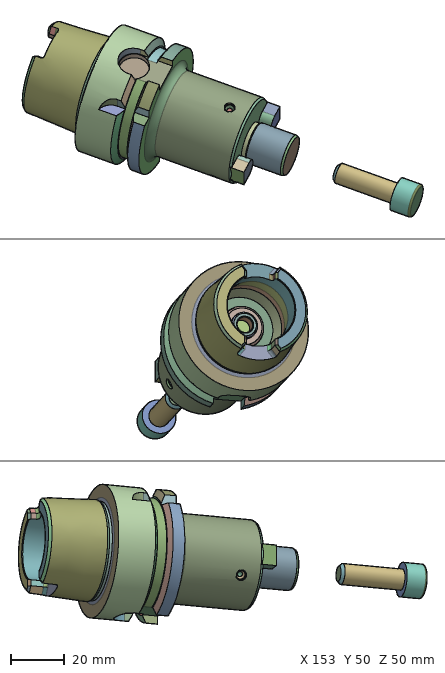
import cadquery as cq
import math


total_length = 153.0
taper_end_x = 22.6
flange_front_x = 25.0
flange_back_x = 51.0
body_end_x = 84.9
pilot_end_x = 101.9

end_face_radius = 17.1
end_chamfer_length = 1.0
taper_small_radius = 18.0
taper_big_radius = 19.1
relief_radius = 18.7
relief_start_x = 23.5
relief_end_x = 24.6
shoulder_radius = 20.0

flange_radius = 50.0 / 2
groove_radius = 43.3 / 2
groove_wall_foot_radius = 22.3
groove_front_x = 39.5
groove_floor_start_x = 41.2
groove_floor_end_x = 45.0
groove_back_x = 46.4

body_radius = 34.0 / 2
body_fillet = 3.0
edge_chamfer_length = 0.9
edge_chamfer_height = 0.5
neck_radius = 7.6
pilot_radius = 16.0 / 2
neck_length = 1.7
neck_cone_length = 0.5

bore_radius = 13.0
bore_chamfer = 0.3
bore_straight_depth = 10.1
undercut_radius = 14.5
undercut_start_x = 20.7
undercut_end_x = 24.5
bore_floor_radius = 12.0
bore_depth = 27.5
nut_radius = 16.0 / 2
nut_chamfer = 0.9
nut_height = 2.3
tube_radius = 10.0 / 2
tube_chamfer = 0.6
tube_height = 4.6
tube_hole_radius = 6.0 / 2
tube_hole_chamfer = 0.3

notch_half_width = 5.5
notch_flare_z = 14.0
notch_flare_slope = 0.8
notch_floor_fillet = 1.2
notch_mouth_chamfer = 0.9
top_notch_depth = 4.3
bottom_notch_depth = 7.2

slot_width = 12.0
slot_center_x = 38.0
slot_floor = 21.1
pocket_diameter = 11.5
pocket_depth = 2.5
index_notch_offset = 15.5

key_width = 8.0
key_inner_end = 8.4
key_outer_end = 16.5
key_length = 5.0
key_fillet = 3.4
key_root = 0.5

radial_hole_x = 76.8
radial_hole_radius = 4.0 / 2
radial_hole_depth = 0.9
cup_radius = 3.4 / 2
socket_radius = 2.0 / 2
socket_depth = 2.0
drill_point_height = 0.6
radial_hole_count = 3

screw_tip_x = 120.1
screw_head_x = 144.9
screw_shank_radius = 8.0 / 2
screw_tip_chamfer_length = 1.2
screw_tip_chamfer_height = 1.0
screw_head_radius = 13.0 / 2
screw_head_fillet = 0.8


def revolve_about_x(outline):
    """Full turn about the X axis of a closed outline drawn in the XY plane."""
    return outline.close().revolve(360, (0, 0, 0), (1, 0, 0))


def turned_outside():
    """Shank, flange with its groove, body and pilot as one solid of revolution."""
    arc_mid = body_fillet * (1 - math.sqrt(0.5))
    neck_end_x = body_end_x + neck_length
    outline = (
        cq.Workplane("XY")
        .moveTo(0, 0)
        .lineTo(0, end_face_radius)
        .lineTo(end_chamfer_length, taper_small_radius)
        .lineTo(taper_end_x, taper_big_radius)
        .lineTo(relief_start_x, relief_radius)
        .lineTo(relief_end_x, relief_radius)
        .lineTo(flange_front_x, shoulder_radius)
        .lineTo(flange_front_x, flange_radius)
        .lineTo(groove_front_x, flange_radius)
        .lineTo(groove_floor_start_x, groove_wall_foot_radius)
        .lineTo(groove_floor_start_x, groove_radius)
        .lineTo(groove_floor_end_x, groove_radius)
        .lineTo(groove_floor_end_x, groove_wall_foot_radius)
        .lineTo(groove_back_x, flange_radius)
        .lineTo(flange_back_x, flange_radius)
        .lineTo(flange_back_x, body_radius + body_fillet)
        .threePointArc(
            (flange_back_x + arc_mid, body_radius + arc_mid),
            (flange_back_x + body_fillet, body_radius),
        )
        .lineTo(body_end_x - edge_chamfer_length, body_radius)
        .lineTo(body_end_x, body_radius - edge_chamfer_height)
        .lineTo(body_end_x, neck_radius)
        .lineTo(neck_end_x, neck_radius)
        .lineTo(neck_end_x + neck_cone_length, pilot_radius)
        .lineTo(pilot_end_x - edge_chamfer_length, pilot_radius)
        .lineTo(pilot_end_x, pilot_radius - edge_chamfer_height)
        .lineTo(pilot_end_x, 0)
    )
    return revolve_about_x(outline)


def shank_hollow():
    """Bore of the shank, leaving a chamfered nut and coolant tube on its floor."""
    nut_top_x = bore_depth - nut_height
    tube_top_x = bore_depth - tube_height
    outline = (
        cq.Workplane("XY")
        .moveTo(0, 0)
        .lineTo(0, bore_radius + bore_chamfer)
        .lineTo(bore_chamfer, bore_radius)
        .lineTo(bore_straight_depth, bore_radius)
        .lineTo(undercut_start_x, undercut_radius)
        .lineTo(undercut_end_x, undercut_radius)
        .lineTo(bore_depth, bore_floor_radius)
        .lineTo(bore_depth, nut_radius)
        .lineTo(nut_top_x + nut_chamfer, nut_radius)
        .lineTo(nut_top_x, nut_radius - nut_chamfer)
        .lineTo(nut_top_x, tube_radius)
        .lineTo(tube_top_x + tube_chamfer, tube_radius)
        .lineTo(tube_top_x, tube_radius - tube_chamfer)
        .lineTo(tube_top_x, tube_hole_radius + tube_hole_chamfer)
        .lineTo(tube_top_x + tube_hole_chamfer, tube_hole_radius)
        .lineTo(bore_depth, tube_hole_radius)
        .lineTo(bore_depth, 0)
    )
    return revolve_about_x(outline)


def notch_outline(start_x, widening):
    """Outline of the driving notch across X, with straight walls that flare outwards."""
    half_width = notch_half_width + widening
    flare_half_width = half_width + notch_flare_slope * (flange_radius - notch_flare_z)
    return (
        cq.Workplane("YZ", origin=(start_x, 0, 0))
        .polyline([
            (-half_width, 0),
            (half_width, 0),
            (half_width, notch_flare_z),
            (flare_half_width, flange_radius),
            (-flare_half_width, flange_radius),
            (-half_width, notch_flare_z),
        ])
        .close()
    )


def driving_notch(depth):
    """Notch in the +Z side of the shank end with rounded floor corners and a chamfered mouth."""
    notch = notch_outline(0, 0).extrude(depth)
    notch = notch.faces(">X").edges("not |Y").fillet(notch_floor_fillet)
    outer_mouth = notch_outline(0, notch_mouth_chamfer).val()
    inner_mouth = notch_outline(notch_mouth_chamfer, 0).val()
    mouth = cq.Solid.makeLoft([outer_mouth, inner_mouth], True)
    return notch.union(cq.Workplane(mouth))


def milled_slot(center_y, floor_z):
    """Round-ended slot milled from +Z down to a flat floor, open through the back of the flange."""
    length = flange_back_x - slot_center_x
    height = flange_radius - floor_z
    floor = cq.Workplane("XY", origin=(slot_center_x, center_y, floor_z))
    round_end = floor.circle(slot_width / 2).extrude(height)
    straight = floor.center(length / 2, 0).rect(length, slot_width).extrude(height)
    return round_end.union(straight)


def round_pocket():
    """Flat-bottomed round pocket sunk into the floor of the +Z flange slot."""
    return (
        cq.Workplane("XY", origin=(slot_center_x, 0, slot_floor))
        .circle(pocket_diameter / 2)
        .extrude(-pocket_depth)
    )


def driving_key():
    """Key on the +Y side of the body end face, rounded at its inner end."""
    key_size = key_outer_end - key_inner_end
    return (
        cq.Workplane("YZ", origin=(body_end_x - key_root, (key_inner_end + key_outer_end) / 2, 0))
        .rect(key_size, key_width)
        .extrude(key_root + key_length)
        .edges("|X and <Y")
        .fillet(key_fillet)
    )


def radial_hole():
    """Stepped screw hole from the +Z side of the body, coned down to a drilled socket."""
    cup_z = body_radius - radial_hole_depth
    socket_z = body_radius - socket_depth
    return (
        cq.Workplane("XZ")
        .moveTo(0, body_radius)
        .lineTo(radial_hole_radius, body_radius)
        .lineTo(radial_hole_radius, cup_z)
        .lineTo(cup_radius, cup_z)
        .lineTo(socket_radius, socket_z)
        .lineTo(0, socket_z - drill_point_height)
        .close()
        .revolve(360, (0, 0, 0), (0, 1, 0))
        .translate((radial_hole_x, 0, 0))
    )


def turned_about_x(shape, angle):
    return shape.rotate((0, 0, 0), (1, 0, 0), angle)


def make_holder():
    holder = turned_outside().cut(shank_hollow())
    holder = holder.cut(driving_notch(top_notch_depth))
    holder = holder.cut(turned_about_x(driving_notch(bottom_notch_depth), 180))

    slot = milled_slot(0, slot_floor)
    holder = holder.cut(slot).cut(turned_about_x(slot, 180)).cut(round_pocket())
    index_notch = milled_slot(-index_notch_offset - slot_width / 2, index_notch_offset)
    holder = holder.cut(index_notch)

    for side_angle in (0, 180):
        holder = holder.union(turned_about_x(driving_key(), side_angle))
    for index in range(radial_hole_count):
        holder = holder.cut(turned_about_x(radial_hole(), index * 360 / radial_hole_count))
    return holder


def make_screw():
    """Cylinder-head screw lying on the holder axis, tip towards the holder."""
    outline = (
        cq.Workplane("XY")
        .moveTo(screw_tip_x, 0)
        .lineTo(screw_tip_x, screw_shank_radius - screw_tip_chamfer_height)
        .lineTo(screw_tip_x + screw_tip_chamfer_length, screw_shank_radius)
        .lineTo(screw_head_x, screw_shank_radius)
        .lineTo(screw_head_x, screw_head_radius)
        .lineTo(total_length, screw_head_radius)
        .lineTo(total_length, 0)
    )
    return revolve_about_x(outline).faces(">X").edges().fillet(screw_head_fillet)


holder = make_holder()
screw = make_screw()

result = cq.Compound.makeCompound([holder.val(), screw.val()])